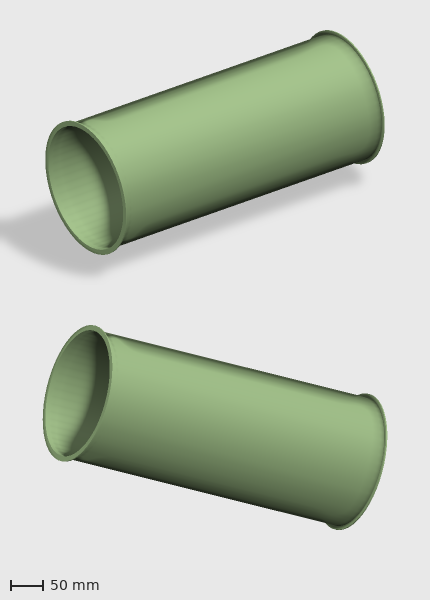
import cadquery as cq

length = 488.0
bore_diameter = 199.0
tube_diameter = 203.0
flange_diameter = 215.0
flange_thickness = (tube_diameter - bore_diameter) / 2


def ring(outer_diameter, start_y, ring_length):
    """Ring around the Y axis, with the tube's bore, extending towards +Y."""
    return (
        cq.Workplane("XZ", origin=(0, start_y, 0))
        .circle(outer_diameter / 2)
        .circle(bore_diameter / 2)
        .extrude(-ring_length)
    )


result = ring(tube_diameter, -length / 2, length)

for flange_y in (-length / 2, length / 2 - flange_thickness):
    result = result.union(ring(flange_diameter, flange_y, flange_thickness))